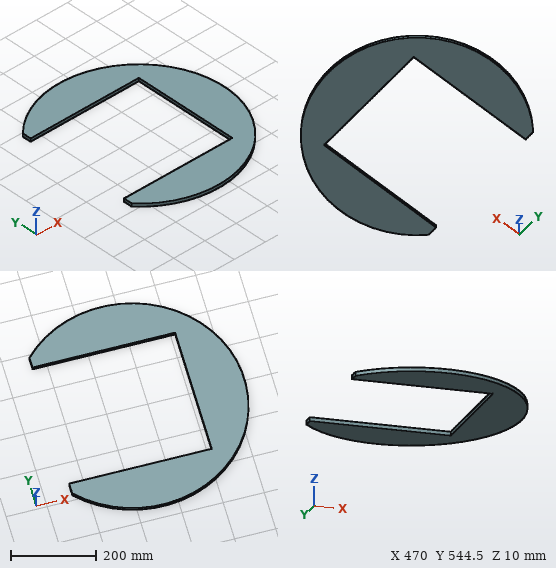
import cadquery as cq

disc_diameter = 544.5
thickness = 10.0
overall_length = 470.0
slot_width = 320.0
slot_depth = 346.5

disc_radius = disc_diameter / 2
flat_x = disc_radius - overall_length

disc = cq.Workplane("XY").circle(disc_radius).extrude(thickness)
trim_envelope = (
    cq.Workplane("XY")
    .box(overall_length, disc_diameter, thickness, centered=(False, True, False))
    .translate((flat_x, 0, 0))
)
plate = disc.intersect(trim_envelope)

slot = (
    cq.Workplane("XY")
    .box(slot_depth, slot_width, thickness, centered=(False, True, False))
    .translate((flat_x, 0, 0))
)

result = plate.cut(slot)